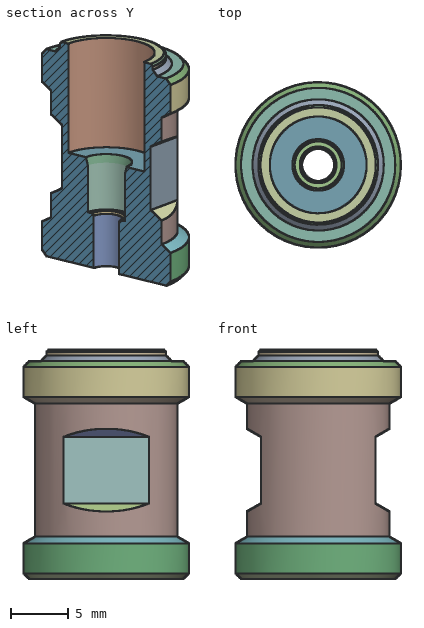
import cadquery as cq
import math

total_height = 20.0
flange_diameter = 14.45
body_diameter = 12.45
flange_height = 3.7
flange_end_chamfer = 0.5
relief_angle = math.radians(30)

lip_diameter = 10.45
lip_height = 1.0
lip_edge_chamfer = 0.2
lip_base_chamfer = 0.5

bore_diameter = 8.45
bore_depth = 10.0
middle_hole_diameter = 4.1
middle_hole_depth = 5.0
lead_in_width = 0.2
lead_in_angle = math.radians(15)
through_hole_diameter = 2.8
through_hole_chamfer = 0.2

across_flats = 10.0
flat_length = 5.8

flange_radius = flange_diameter / 2
body_radius = body_diameter / 2
lip_radius = lip_diameter / 2
flange_top = total_height - lip_height
relief_height = (flange_radius - body_radius) * math.tan(relief_angle)
flats_center_z = flange_top / 2


def revolve_about_z(profile):
    """Revolve a closed outline of (radius, height) points about the Z axis."""
    return cq.Workplane("XZ").polyline(profile).close().revolve(360, (0, 0, 0), (0, 1, 0))


def make_outer_body():
    """Revolve the two flanges, the body between them and the top lip."""
    upper_flange_bottom = flange_top - flange_height
    profile = [
        (0, 0),
        (flange_radius - flange_end_chamfer, 0),
        (flange_radius, flange_end_chamfer),
        (flange_radius, flange_height - relief_height),
        (body_radius, flange_height),
        (body_radius, upper_flange_bottom),
        (flange_radius, upper_flange_bottom + relief_height),
        (flange_radius, flange_top - flange_end_chamfer),
        (flange_radius - flange_end_chamfer, flange_top),
        (lip_radius + lip_base_chamfer, flange_top),
        (lip_radius, flange_top + lip_base_chamfer),
        (lip_radius, total_height - lip_edge_chamfer),
        (lip_radius - lip_edge_chamfer, total_height),
        (0, total_height),
    ]
    return revolve_about_z(profile)


def make_stepped_bore():
    """Revolve the wide bore, the middle hole in its floor and the through hole."""
    bore_floor = total_height - bore_depth
    middle_floor = bore_floor - middle_hole_depth
    lead_in_depth = lead_in_width / math.tan(lead_in_angle)
    bore_radius = bore_diameter / 2
    middle_radius = middle_hole_diameter / 2
    through_radius = through_hole_diameter / 2
    profile = [
        (0, 0),
        (through_radius, 0),
        (through_radius, middle_floor - through_hole_chamfer),
        (through_radius + through_hole_chamfer, middle_floor),
        (middle_radius, middle_floor),
        (middle_radius, bore_floor - lead_in_depth),
        (middle_radius + lead_in_width, bore_floor),
        (bore_radius, bore_floor),
        (bore_radius, total_height),
        (0, total_height),
    ]
    return revolve_about_z(profile)


def make_flat_cutter(side):
    """Prism that cuts one wrench flat with sloped ends; side is -1 or +1 along X."""
    flat_x = across_flats / 2
    runout_height = (flange_radius - flat_x) * math.tan(relief_angle)
    half_inner = flat_length / 2
    half_outer = half_inner + runout_height
    profile = [
        (side * flat_x, flats_center_z - half_inner),
        (side * flange_radius, flats_center_z - half_outer),
        (side * flange_radius, flats_center_z + half_outer),
        (side * flat_x, flats_center_z + half_inner),
    ]
    return cq.Workplane("XZ").polyline(profile).close().extrude(flange_radius, both=True)


result = make_outer_body().cut(make_stepped_bore())
for side in (-1, 1):
    result = result.cut(make_flat_cutter(side))